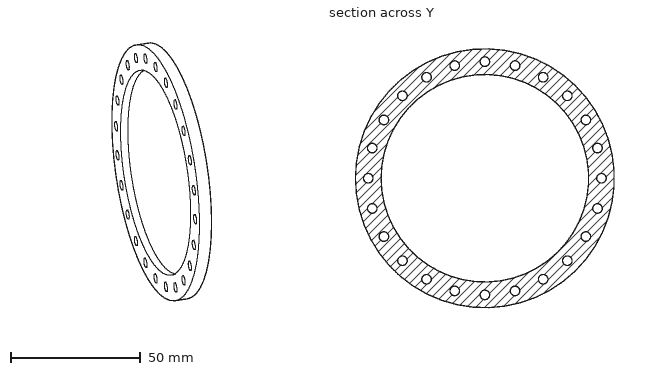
import cadquery as cq

outer_diameter = 100
thickness = 5
recess_diameter = 80
recess_depth = 3
hole_count = 24
hole_diameter = 3.6
hole_circle_diameter = (outer_diameter + recess_diameter) / 2

front_y = -thickness / 2


def front_plane():
    """Plane on the front face with its normal pointing into the disc (+Y)."""
    return cq.Workplane(cq.Plane(origin=(0, front_y, 0), xDir=(1, 0, 0), normal=(0, 1, 0)))


disc = front_plane().circle(outer_diameter / 2).extrude(thickness)

recess = front_plane().circle(recess_diameter / 2).extrude(recess_depth)

holes = (
    front_plane()
    .polarArray(hole_circle_diameter / 2, 0, 360, hole_count)
    .circle(hole_diameter / 2)
    .extrude(thickness)
)

result = disc.cut(recess).cut(holes)